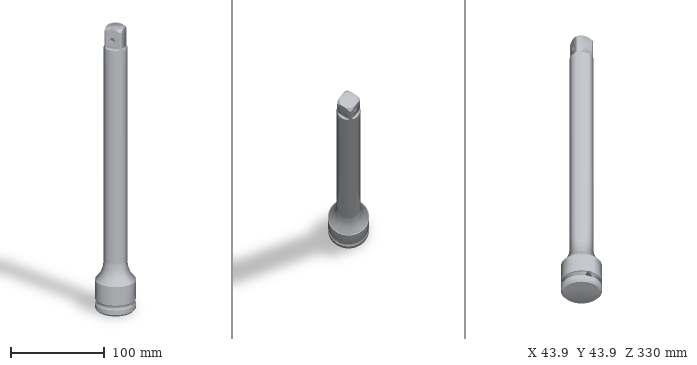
import cadquery as cq

length = 330.0
body_radius = 21.95
shaft_radius = 12.5

base_chamfer_height = 2.3
base_chamfer_width = 2.0
groove_bottom = 7.5
groove_top = 13.2
groove_depth = 3.3
body_top = 35.0
shoulder_ledge = 0.5
flare_top = 57.5
pin_hole_diameter = 7.3

square_side = 19.0
square_length = 23.5
root_fillet = 2.0
tip_chamfer = 3.0
detent_hole_diameter = 6.0
detent_hole_from_tip = 12.5

groove_middle = (groove_bottom + groove_top) / 2
groove_floor_radius = body_radius - groove_depth
square_half = square_side / 2
square_root = length - square_length


def turned_blank():
    """Revolved body: chamfered base, rounded groove, flared shoulder, shaft and tapered tip."""
    flare_foot_radius = body_radius - shoulder_ledge
    flare_width = flare_foot_radius - shaft_radius
    flare_height = flare_top - body_top
    flare_radius = (flare_width**2 + flare_height**2) / (2 * flare_width)
    middle_height = flare_height / 2
    middle_offset = flare_radius - (flare_radius**2 - middle_height**2) ** 0.5
    flare_middle = (shaft_radius + middle_offset, flare_top - middle_height)
    tip_radius = shaft_radius - tip_chamfer

    return (
        cq.Workplane("XZ")
        .lineTo(body_radius - base_chamfer_width, 0)
        .lineTo(body_radius, base_chamfer_height)
        .lineTo(body_radius, groove_bottom)
        .threePointArc((groove_floor_radius, groove_middle), (body_radius, groove_top))
        .lineTo(body_radius, body_top)
        .lineTo(flare_foot_radius, body_top)
        .threePointArc(flare_middle, (shaft_radius, flare_top))
        .lineTo(shaft_radius, length - tip_chamfer)
        .lineTo(tip_radius, length)
        .lineTo(0, length)
        .close()
        .revolve(360, (0, 0, 0), (0, 1, 0))
    )


def flat_cutter():
    """Material removed beside one flat of the square, with a rounded root."""
    return (
        cq.Workplane("XZ")
        .moveTo(square_half, length)
        .lineTo(square_half, square_root + root_fillet)
        .radiusArc((square_half + root_fillet, square_root), -root_fillet)
        .lineTo(body_radius, square_root)
        .lineTo(body_radius, length)
        .close()
        .extrude(body_radius, both=True)
    )


def cross_hole(plane, height, diameter):
    """Round hole through the axis, running along the normal of the given plane."""
    return (
        cq.Workplane(plane)
        .center(0, height)
        .circle(diameter / 2)
        .extrude(2 * body_radius, both=True)
    )


result = turned_blank()

for angle in (0, 90, 180, 270):
    result = result.cut(flat_cutter().rotate((0, 0, 0), (0, 0, 1), angle))

result = result.cut(cross_hole("XZ", length - detent_hole_from_tip, detent_hole_diameter))
result = result.cut(cross_hole("YZ", groove_middle, pin_hole_diameter))